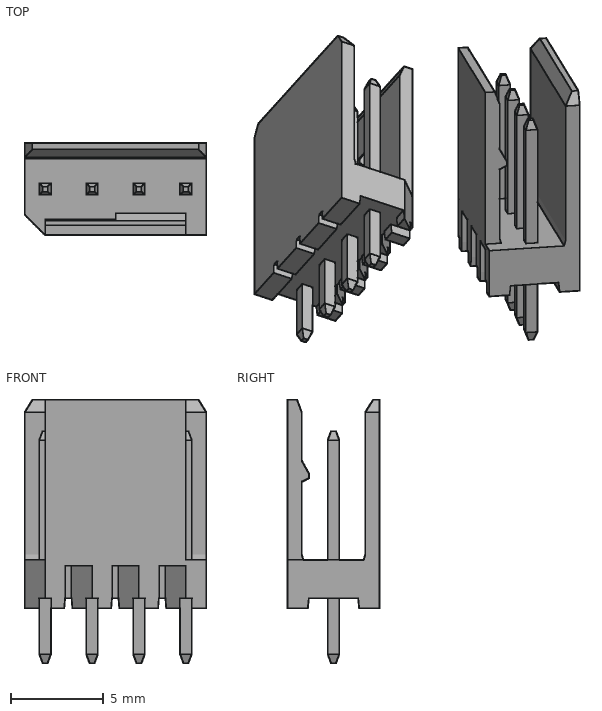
import cadquery as cq


WIDTH = 9.87
DEPTH = 5.0
BODY_HEIGHT = 11.33
BASE_HEIGHT = 2.63

PIN_COUNT = 4
PITCH = 2.55
PIN_SIZE = 0.65
PIN_LENGTH = 12.6
PIN_BELOW_FEET = 2.97
PIN_TIP_SIZE = 0.27
PIN_TIP_LENGTH = 0.5

WALL_THICKNESS = 0.79
WALL_BEVEL_HEIGHT = 0.69
REAR_BEVEL = 0.43
FRONT_BEVEL = 0.26
WALL_ROOT_WIDTH = 0.09
WALL_ROOT_HEIGHT = 0.3

LATCH_REACH = 0.4
LATCH_BOTTOM = 6.86
LATCH_NOSE_BOTTOM = 7.06
LATCH_NOSE_TOP = 7.3
LATCH_TOP = 8.02

FOOT_HEIGHT = 0.55
CHANNEL_DRAFT = 0.06
GAP_WIDTH = 0.35
GAP_DRAFT = 0.05
NOTCH_HEIGHT = 2.33

HALF_WIDTH = WIDTH / 2
REAR = DEPTH / 2
FRONT = -DEPTH / 2
ROW_LENGTH = (PIN_COUNT - 1) * PITCH
ROW_START = -ROW_LENGTH / 2
ROW_END = ROW_LENGTH / 2
CORNER = HALF_WIDTH - ROW_END
PIN_XS = [ROW_START + i * PITCH for i in range(PIN_COUNT)]


def extrude_along_x(points, x_start, x_end):
    """Extrude a closed (y, z) outline between two X positions."""
    return cq.Workplane("YZ", origin=(x_start, 0, 0)).polyline(points).close().extrude(x_end - x_start)


def make_base():
    """Block with its front left corner cut off."""
    outline = [
        (-HALF_WIDTH, REAR),
        (HALF_WIDTH, REAR),
        (HALF_WIDTH, FRONT),
        (ROW_START, FRONT),
        (-HALF_WIDTH, FRONT + CORNER),
    ]
    return cq.Workplane("XY").polyline(outline).close().extrude(BASE_HEIGHT)


def wall_outline(outer_y, inward, bevel):
    """Wall section (y, z): widened at its root and bevelled inside at the top."""
    inner_y = outer_y + inward * WALL_THICKNESS
    return [
        (outer_y, 0),
        (inner_y + inward * WALL_ROOT_WIDTH, 0),
        (inner_y + inward * WALL_ROOT_WIDTH, BASE_HEIGHT),
        (inner_y, BASE_HEIGHT + WALL_ROOT_HEIGHT),
        (inner_y, BODY_HEIGHT - WALL_BEVEL_HEIGHT),
        (inner_y - inward * bevel, BODY_HEIGHT),
        (outer_y, BODY_HEIGHT),
    ]


def make_rear_wall():
    """Full-width wall, bevelled inside and at both top corners."""
    wall = extrude_along_x(wall_outline(REAR, -1, REAR_BEVEL), -HALF_WIDTH, HALF_WIDTH)
    shoulder = BODY_HEIGHT - WALL_BEVEL_HEIGHT
    silhouette = [
        (-HALF_WIDTH, 0),
        (HALF_WIDTH, 0),
        (HALF_WIDTH, shoulder),
        (HALF_WIDTH - REAR_BEVEL, BODY_HEIGHT),
        (REAR_BEVEL - HALF_WIDTH, BODY_HEIGHT),
        (-HALF_WIDTH, shoulder),
    ]
    return wall.intersect(cq.Workplane("XZ").polyline(silhouette).close().extrude(DEPTH / 2, both=True))


def make_front_wall():
    """Wall spanning the outer pin centres."""
    return extrude_along_x(wall_outline(FRONT, 1, FRONT_BEVEL), ROW_START, ROW_END)


def make_latch():
    """Ridge along the right half of the front wall."""
    wall_y = FRONT + WALL_THICKNESS
    nose_y = wall_y + LATCH_REACH
    outline = [
        (FRONT + WALL_THICKNESS / 2, LATCH_BOTTOM),
        (wall_y, LATCH_BOTTOM),
        (nose_y, LATCH_NOSE_BOTTOM),
        (nose_y, LATCH_NOSE_TOP),
        (wall_y, LATCH_TOP),
        (FRONT + WALL_THICKNESS / 2, LATCH_TOP),
    ]
    return extrude_along_x(outline, 0, ROW_END)


def make_channel():
    """Drafted channel between the front and rear feet."""
    bottom_y = DEPTH / 2 - CORNER
    top_y = bottom_y - CHANNEL_DRAFT
    outline = [(-bottom_y, 0), (bottom_y, 0), (top_y, FOOT_HEIGHT), (-top_y, FOOT_HEIGHT)]
    return extrude_along_x(outline, -HALF_WIDTH, HALF_WIDTH)


def make_notch(right_x):
    """Front notch with a flat back and a 45 degree right side ending at right_x."""
    back_right = right_x - CORNER
    back_left = back_right - GAP_WIDTH
    outline = [
        (back_left, FRONT),
        (right_x, FRONT),
        (back_right, FRONT + CORNER),
        (back_left, FRONT + CORNER),
    ]
    return cq.Workplane("XY").polyline(outline).close().extrude(NOTCH_HEIGHT)


def make_gap(right_x):
    """Drafted gap across the front and rear feet, behind the notch ending at right_x."""
    top_right = right_x - CORNER
    top_left = top_right - GAP_WIDTH
    outline = [
        (top_left - GAP_DRAFT, 0),
        (top_right + GAP_DRAFT, 0),
        (top_right, FOOT_HEIGHT),
        (top_left, FOOT_HEIGHT),
    ]
    return cq.Workplane("XZ").polyline(outline).close().extrude(DEPTH / 2, both=True)


def make_pin_slot(x):
    """Pin-wide slot from the front face into the channel."""
    return cq.Workplane("XY").box(PIN_SIZE, DEPTH / 2, FOOT_HEIGHT, centered=(True, False, False)).translate(
        (x, FRONT, 0)
    )


def make_pin_tip(z, direction):
    """Square tip narrowing from height z upwards (1) or downwards (-1)."""
    return (
        cq.Workplane("XY", origin=(0, 0, z))
        .rect(PIN_SIZE, PIN_SIZE)
        .workplane(offset=direction * PIN_TIP_LENGTH)
        .rect(PIN_TIP_SIZE, PIN_TIP_SIZE)
        .loft()
    )


def make_pin(x):
    """Square pin, tapered at both ends."""
    shank_bottom = PIN_TIP_LENGTH - PIN_BELOW_FEET
    shank_length = PIN_LENGTH - 2 * PIN_TIP_LENGTH
    shank = cq.Workplane("XY", origin=(0, 0, shank_bottom)).rect(PIN_SIZE, PIN_SIZE).extrude(shank_length)
    pin = shank.union(make_pin_tip(shank_bottom, -1)).union(make_pin_tip(shank_bottom + shank_length, 1))
    return pin.translate((x, 0, 0))


body = make_base().union(make_rear_wall()).union(make_front_wall()).union(make_latch())
body = body.cut(make_channel())
for notch_x in PIN_XS[1:]:
    body = body.cut(make_notch(notch_x)).cut(make_gap(notch_x))
for pin_x in PIN_XS:
    body = body.cut(make_pin_slot(pin_x))
for pin_x in PIN_XS:
    body = body.union(make_pin(pin_x))

result = body